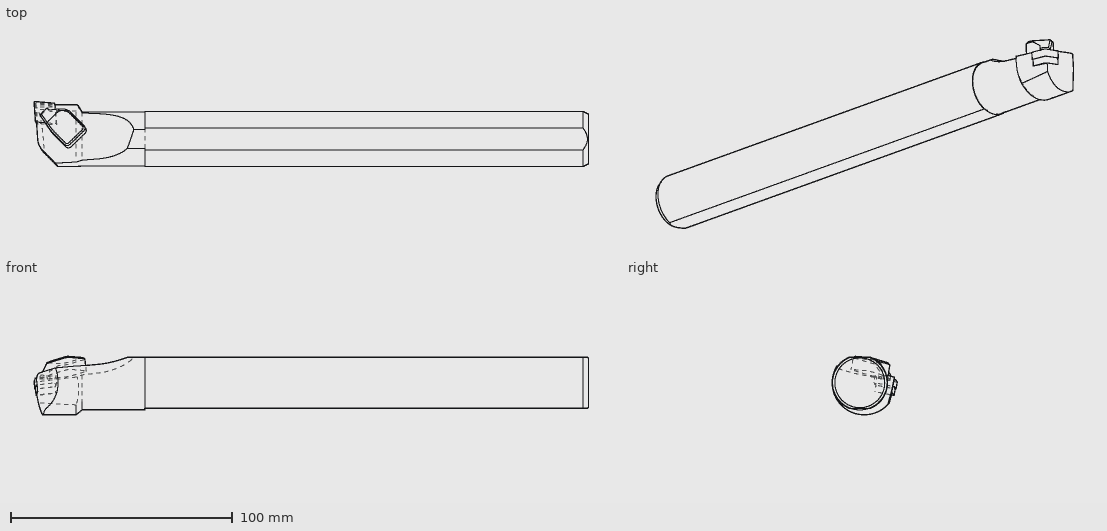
import cadquery as cq
import math


LENGTH = 250.0
SHANK_DIAMETER = 25.0
SHANK_START = 50.0
FLAT_HEIGHT = 11.5
END_CHAMFER_LENGTH = 2.5
END_CHAMFER_DEPTH = 1.2
NECK_DIAMETER = 24.5

HEAD_DIAMETER = 29.0
HEAD_OFFSET_Y = (HEAD_DIAMETER - SHANK_DIAMETER) / 2
HEAD_ROUND_END = 19.0
HEAD_END = 21.7
RELIEF_DEPTH = 6.2
RELIEF_ANGLE = 5.0

TIP_X = -0.05
TIP_Y = 17.0
TIP_Z = 0.2
AXIAL_RAKE = 6.0
RADIAL_RAKE = 11.0

INSERT_EDGE = 9.5
INSERT_THICKNESS = 3.2
LEAD_ANGLE = 5.0
INSERT_NOSE_RADIUS = 0.5
SEAT_INSET = 0.2

FACE_SETBACK = 0.5
SIDE_SETBACK = 1.5
CORNER_START = 17.5
CORNER_RADIUS = 7.7
CORNER_END_ANGLE = 45.0

GULLET_ARC_START = 29.2
GULLET_RADIUS = 37.5
GULLET_ARC_ANGLE = 40.0

CLAMP_HEIGHT = 6.2
CLAMP_BACK = 27.0
CLAMP_BACK_DIAMETER = 3.5
CLAMP_LEFT = 8.0
CLAMP_RIGHT = -4.2
CLAMP_NOSE = 6.7
CLAMP_NOSE_LEFT = 2.0
CLAMP_NOSE_RIGHT = -2.5
CLAMP_NOSE_LENGTH = 1.7
CLAMP_NOSE_HEIGHT = 1.7
CLAMP_SLOPE_TOP = 12.5
CLAMP_LEFT_SHOULDER = 14.5
CLAMP_LEFT_ROUND = 5.0
CLAMP_RIGHT_SHOULDER = 16.0
CLAMP_RIGHT_ROUND = 20.0
CLAMP_CHAMFER = 0.7

REACH = 50.0

rise_x = math.tan(math.radians(AXIAL_RAKE))
rise_y = math.tan(math.radians(RADIAL_RAKE))
rake_plane = cq.Plane(
    origin=(TIP_X, TIP_Y, TIP_Z),
    xDir=(1, 0, rise_x),
    normal=(-rise_x, rise_y, 1),
)
rake_side_plane = cq.Plane(rake_plane.origin, rake_plane.xDir, -rake_plane.yDir)
clamp_plane = rake_plane.rotated((0, 0, -45))
clamp_side_plane = cq.Plane(clamp_plane.origin, clamp_plane.xDir, -clamp_plane.yDir)


def make_shank():
    """Round shank with a chamfered rear end and a flat on the top and bottom."""
    shank = (
        cq.Workplane("YZ", origin=(SHANK_START, 0, 0))
        .circle(SHANK_DIAMETER / 2)
        .extrude(LENGTH - SHANK_START)
        .faces(">X")
        .chamfer(END_CHAMFER_LENGTH, END_CHAMFER_DEPTH)
    )
    return shank.intersect(cq.Workplane("XY").box(2 * LENGTH, SHANK_DIAMETER, 2 * FLAT_HEIGHT))


def make_neck():
    """Round neck with a flat on the top only."""
    neck = (
        cq.Workplane("YZ", origin=(HEAD_END, 0, 0))
        .circle(NECK_DIAMETER / 2)
        .extrude(SHANK_START - HEAD_END)
    )
    above_flat = cq.Workplane("XY", origin=(0, 0, FLAT_HEIGHT)).rect(2 * LENGTH, REACH).extrude(REACH)
    return neck.cut(above_flat)


def head_outline():
    """Head outline in the rake plane: front face, rounded corner, sloping face; oversize behind."""
    lead = math.radians(LEAD_ANGLE)
    end = math.radians(CORNER_END_ANGLE)
    face_top = (FACE_SETBACK + SIDE_SETBACK * math.tan(lead), -SIDE_SETBACK)
    face_end = (FACE_SETBACK + CORNER_START * math.tan(lead), -CORNER_START)
    centre_x = face_end[0] + CORNER_RADIUS * math.cos(lead)
    centre_y = face_end[1] + CORNER_RADIUS * math.sin(lead)

    def on_corner(angle):
        return (centre_x - CORNER_RADIUS * math.cos(angle), centre_y - CORNER_RADIUS * math.sin(angle))

    corner_end = on_corner(end)
    slope_end = (corner_end[0] + REACH * math.sin(end), corner_end[1] - REACH * math.cos(end))
    return (
        cq.Workplane(rake_plane)
        .moveTo(*face_top)
        .lineTo(*face_end)
        .threePointArc(on_corner((lead + end) / 2), corner_end)
        .lineTo(*slope_end)
        .lineTo(2 * REACH, slope_end[1])
        .lineTo(2 * REACH, -SIDE_SETBACK)
        .close()
    )


def make_head():
    """Eccentric round and its taper, trimmed to the outline, with relieved walls lower down."""
    head_round = (
        cq.Workplane("YZ")
        .center(HEAD_OFFSET_Y, 0)
        .circle(HEAD_DIAMETER / 2)
        .extrude(HEAD_ROUND_END)
    )
    taper = (
        cq.Workplane("YZ", origin=(HEAD_ROUND_END, 0, 0))
        .center(HEAD_OFFSET_Y, 0)
        .circle(HEAD_DIAMETER / 2)
        .workplane(offset=HEAD_END - HEAD_ROUND_END)
        .center(-HEAD_OFFSET_Y, 0)
        .circle(NECK_DIAMETER / 2)
        .loft(ruled=True)
    )
    upright = head_outline().extrude(-RELIEF_DEPTH)
    relieved = head_outline().extrude(-HEAD_DIAMETER, taper=RELIEF_ANGLE)
    relieved = relieved.translate(rake_plane.zDir * -RELIEF_DEPTH)
    return head_round.union(taper).intersect(upright.union(relieved))


def make_gullet():
    """Material removed above the rake plane, ending in the rising arc."""
    def on_arc(angle):
        return (GULLET_ARC_START + GULLET_RADIUS * math.sin(angle), GULLET_RADIUS * (1 - math.cos(angle)))

    end = math.radians(GULLET_ARC_ANGLE)
    return (
        cq.Workplane(rake_side_plane)
        .moveTo(-REACH, 0)
        .lineTo(GULLET_ARC_START, 0)
        .threePointArc(on_arc(end / 2), on_arc(end))
        .lineTo(-REACH, on_arc(end)[1])
        .close()
        .extrude(REACH, both=True)
    )


def make_rhombus_plate(top, thickness, inset):
    """Rhombic plate hanging below the given level of the rake plane, with rounded corners."""
    lead = math.radians(LEAD_ANGLE)
    side_corner = (INSERT_EDGE * math.cos(lead), -INSERT_EDGE * math.sin(lead))
    face_corner = (INSERT_EDGE * math.sin(lead), -INSERT_EDGE * math.cos(lead))
    back_corner = (side_corner[0] + face_corner[0], side_corner[1] + face_corner[1])
    return (
        cq.Workplane(rake_plane)
        .workplane(offset=top)
        .polyline([(0, 0), side_corner, back_corner, face_corner])
        .close()
        .offset2D(-inset)
        .extrude(-thickness)
        .edges(cq.selectors.ParallelDirSelector(rake_plane.zDir))
        .fillet(INSERT_NOSE_RADIUS)
    )


def make_insert():
    return make_rhombus_plate(0, INSERT_THICKNESS, 0)


def make_seat():
    return make_rhombus_plate(-INSERT_THICKNESS, RELIEF_DEPTH - INSERT_THICKNESS, SEAT_INSET)


def make_clamp():
    """Clamp block on the rake plane, with rounded shoulders, chamfered top and sloping nose."""
    outline = [
        (CLAMP_NOSE, CLAMP_NOSE_RIGHT),
        (CLAMP_RIGHT_SHOULDER, CLAMP_RIGHT),
        (CLAMP_BACK, CLAMP_RIGHT),
        (CLAMP_BACK, CLAMP_LEFT),
        (CLAMP_LEFT_SHOULDER, CLAMP_LEFT),
        (CLAMP_NOSE + CLAMP_NOSE_LENGTH, CLAMP_NOSE_LEFT),
        (CLAMP_NOSE, CLAMP_NOSE_LEFT),
    ]

    def edge_near(along, across, height):
        point = clamp_plane.toWorldCoords((along, across, height))
        return cq.selectors.NearestToPointSelector(point.toTuple())

    corner_rounds = [
        (CLAMP_RIGHT_SHOULDER, CLAMP_RIGHT, CLAMP_RIGHT_ROUND),
        (CLAMP_LEFT_SHOULDER, CLAMP_LEFT, CLAMP_LEFT_ROUND),
        (CLAMP_BACK, CLAMP_RIGHT, CLAMP_BACK_DIAMETER / 2),
        (CLAMP_BACK, CLAMP_LEFT, CLAMP_BACK_DIAMETER / 2),
    ]

    block = cq.Workplane(clamp_plane).polyline(outline).close().extrude(CLAMP_HEIGHT)
    for along, across, radius in corner_rounds:
        block = block.edges(edge_near(along, across, CLAMP_HEIGHT / 2)).fillet(radius)
    top_face = cq.selectors.DirectionMinMaxSelector(clamp_plane.zDir)
    block = block.faces(top_face).chamfer(CLAMP_CHAMFER)
    above_nose = (
        cq.Workplane(clamp_side_plane)
        .moveTo(CLAMP_NOSE, CLAMP_NOSE_HEIGHT)
        .lineTo(CLAMP_SLOPE_TOP, CLAMP_HEIGHT)
        .lineTo(CLAMP_NOSE, CLAMP_HEIGHT)
        .close()
        .extrude(REACH, both=True)
    )
    slope_side_edge = edge_near(
        (CLAMP_NOSE + CLAMP_SLOPE_TOP) / 2,
        (CLAMP_NOSE_RIGHT + CLAMP_RIGHT) / 2,
        (CLAMP_NOSE_HEIGHT + CLAMP_HEIGHT) / 2,
    )
    return block.cut(above_nose).edges(slope_side_edge).chamfer(CLAMP_CHAMFER)


def make_holder(pocket_filler):
    """Holder with a pocket that matches the insert, and the clamp over it."""
    bar = make_shank().union(make_neck()).union(make_head()).cut(make_gullet())
    return bar.union(make_seat()).cut(pocket_filler).union(make_clamp())


insert = make_insert()
holder = make_holder(insert)
result = cq.Compound.makeCompound([holder.solids().val(), insert.solids().val()])